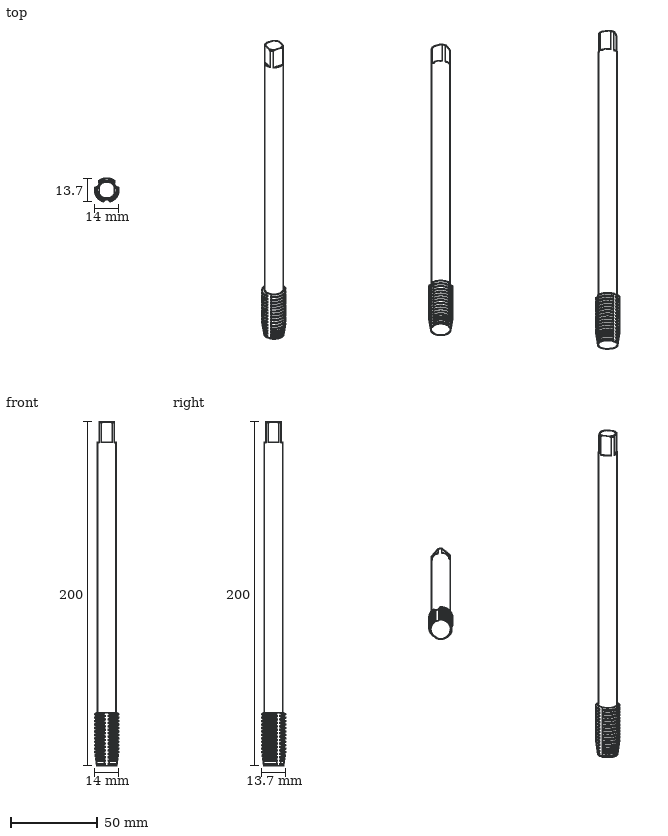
import cadquery as cq
import math

TOTAL_LENGTH = 200.0

THREAD_DIAMETER = 14.0
THREAD_RADIUS = THREAD_DIAMETER / 2
PITCH = 2.0
HALF_FLANK_ANGLE = math.radians(30)
SHARP_HEIGHT = PITCH / (2 * math.tan(HALF_FLANK_ANGLE))
DEPTH_TO_SHARP_HEIGHT = 17 / 24
THREAD_DEPTH = SHARP_HEIGHT * DEPTH_TO_SHARP_HEIGHT
CREST_FLAT = PITCH / 8
FLANK_HEIGHT = THREAD_DEPTH * math.tan(HALF_FLANK_ANGLE)
RING_COUNT = 16

TOP_CREST_HEIGHT = (RING_COUNT - 1) * PITCH
HEAD_LENGTH = TOP_CREST_HEIGHT + CREST_FLAT / 2 + FLANK_HEIGHT

SHANK_DIAMETER = 11.0
SHANK_END_CHAMFER = 0.6
SQUARE_ACROSS_FLATS = 9.0
SQUARE_LENGTH = 12.0

LEAD_LENGTH = 7.5
TIP_DIAMETER = 11.6

FLUTE_COUNT = 3
FLUTE_WIDTH = 4.06
FLUTE_FLOOR_DISTANCE = 5.5
FIRST_FLUTE_ANGLE = -90.0


def make_shank():
    """Plain cylinder with four flats at its upper end."""
    shank_length = TOTAL_LENGTH - HEAD_LENGTH
    square_bottom = TOTAL_LENGTH - SQUARE_LENGTH
    cylinder = (
        cq.Workplane("XY")
        .workplane(offset=HEAD_LENGTH)
        .circle(SHANK_DIAMETER / 2)
        .extrude(shank_length)
        .faces(">Z")
        .chamfer(SHANK_END_CHAMFER)
    )
    outside_flats = (
        cq.Workplane("XY")
        .workplane(offset=square_bottom)
        .rect(2 * SHANK_DIAMETER, 2 * SHANK_DIAMETER)
        .rect(SQUARE_ACROSS_FLATS, SQUARE_ACROSS_FLATS)
        .extrude(SQUARE_LENGTH)
    )
    return cylinder.cut(outside_flats)


def make_head_blank():
    """Cylinder at the thread's outer diameter with the lead-in taper at the tip."""
    return (
        cq.Workplane("XZ")
        .moveTo(0, 0)
        .lineTo(TIP_DIAMETER / 2, 0)
        .lineTo(THREAD_RADIUS, LEAD_LENGTH)
        .lineTo(THREAD_RADIUS, HEAD_LENGTH)
        .lineTo(0, HEAD_LENGTH)
        .close()
        .revolve(360, (0, 0), (0, 1))
    )


def make_thread_groove(middle_height):
    """Ring with the trapezoid section of one thread groove."""
    root_radius = THREAD_RADIUS - THREAD_DEPTH
    half_mouth = (PITCH - CREST_FLAT) / 2
    half_root = half_mouth - FLANK_HEIGHT
    return (
        cq.Workplane("XZ")
        .moveTo(root_radius, middle_height - half_root)
        .lineTo(THREAD_RADIUS, middle_height - half_mouth)
        .lineTo(THREAD_RADIUS, middle_height + half_mouth)
        .lineTo(root_radius, middle_height + half_root)
        .close()
        .revolve(360, (0, 0), (0, 1))
    )


def make_flute(angle):
    """Round bar along Z that leaves a flute of the set width and depth."""
    edge_distance = math.sqrt(THREAD_RADIUS**2 - (FLUTE_WIDTH / 2) ** 2)
    flute_depth = edge_distance - FLUTE_FLOOR_DISTANCE
    flute_radius = ((FLUTE_WIDTH / 2) ** 2 + flute_depth**2) / (2 * flute_depth)
    return (
        cq.Workplane("XY")
        .center(FLUTE_FLOOR_DISTANCE + flute_radius, 0)
        .circle(flute_radius)
        .extrude(HEAD_LENGTH)
        .rotate((0, 0, 0), (0, 0, 1), angle)
    )


def make_threaded_head():
    """Threaded cutting head with its flutes."""
    head = make_head_blank()
    for index in range(RING_COUNT):
        head = head.cut(make_thread_groove((index + 0.5) * PITCH))
    for index in range(FLUTE_COUNT):
        head = head.cut(make_flute(FIRST_FLUTE_ANGLE + index * 360 / FLUTE_COUNT))
    return head


shank = make_shank()
threaded_head = make_threaded_head()

result = cq.Compound.makeCompound([shank.val(), threaded_head.val()])